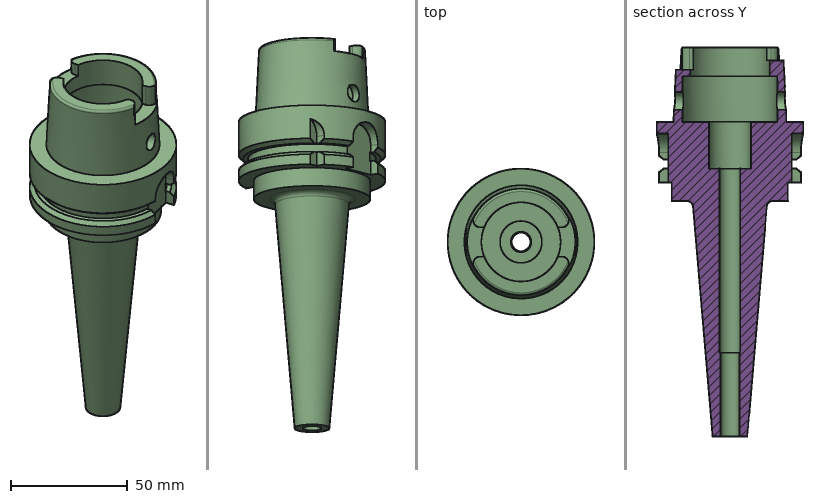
import cadquery as cq
import math

LEFT = -1
RIGHT = 1

TAPER_LENGTH = 32.0
TAPER_BASE_RADIUS = 24.35
TAPER_END_RADIUS = 22.8
TAPER_END_ROUND = 1.1

FLANGE_RADIUS = 31.5
FLANGE_BOTTOM = -26.0
GROOVE_RADIUS = 27.5
GROOVE_LIP_RADIUS = 29.5
GROOVE_CENTRE = -18.1
GROOVE_OUTER_WIDTH = 7.0
GROOVE_INNER_WIDTH = 3.75

COLLAR_RADIUS = 25.0
COLLAR_BOTTOM = -34.0
NOSE_ROOT_RADIUS = 16.1
NOSE_TIP_RADIUS = 7.5
NOSE_TIP = -135.0
NOSE_ROOT_FILLET = 2.5

MOUTH_RADIUS = 17.0
MOUTH_DEPTH = 12.5
CHAMBER_RADIUS = 20.3
CHAMBER_FLOOR = 0.0
TUBE_BORE_RADIUS = 9.0
TUBE_BORE_DEPTH = 20.0
TOOL_BORE_RADIUS = 4.0
RELIEF_BORE_RADIUS = 4.4
TOOL_BORE_LENGTH = 36.0

KEY_SLOT_WIDTH = 12.54
KEY_SLOT_DEPTH_LEFT = 5.6
KEY_SLOT_DEPTH_RIGHT = 9.6
KEY_SLOT_ROUND = 3.0

CROSS_HOLE_DIAMETER = 7.5
CROSS_HOLE_Z = 9.0

POCKET_WIDTH = 16.0
POCKET_TOP = -5.0
POCKET_FLOOR_X = 26.5
NOTCH_WALL_Y = 19.9
NOTCH_FLOOR_X = 20.2


def revolve_profile(profile):
    """Turn a closed profile of (radius, z) around the Z axis."""
    return profile.close().revolve(360, (0, 0, 0), (0, 1, 0))


def make_body():
    groove_outer = GROOVE_OUTER_WIDTH / 2
    groove_inner = GROOVE_INNER_WIDTH / 2
    body = revolve_profile(
        cq.Workplane("XZ")
        .moveTo(0, TAPER_LENGTH)
        .lineTo(TAPER_END_RADIUS, TAPER_LENGTH)
        .lineTo(TAPER_BASE_RADIUS, 0)
        .lineTo(FLANGE_RADIUS, 0)
        .lineTo(FLANGE_RADIUS, GROOVE_CENTRE + groove_outer)
        .lineTo(GROOVE_LIP_RADIUS, GROOVE_CENTRE + groove_inner)
        .lineTo(GROOVE_RADIUS, GROOVE_CENTRE + groove_inner)
        .lineTo(GROOVE_RADIUS, GROOVE_CENTRE - groove_inner)
        .lineTo(GROOVE_LIP_RADIUS, GROOVE_CENTRE - groove_inner)
        .lineTo(FLANGE_RADIUS, GROOVE_CENTRE - groove_outer)
        .lineTo(FLANGE_RADIUS, FLANGE_BOTTOM)
        .lineTo(COLLAR_RADIUS, FLANGE_BOTTOM)
        .lineTo(COLLAR_RADIUS, COLLAR_BOTTOM)
        .lineTo(NOSE_ROOT_RADIUS, COLLAR_BOTTOM)
        .lineTo(NOSE_TIP_RADIUS, NOSE_TIP)
        .lineTo(0, NOSE_TIP)
    )
    collar_face = cq.selectors.NearestToPointSelector((COLLAR_RADIUS, 0, COLLAR_BOTTOM))
    inner_edge = cq.selectors.RadiusNthSelector(0)
    body = body.faces(collar_face).edges(inner_edge).fillet(NOSE_ROOT_FILLET)
    return body.faces(">Z").edges().fillet(TAPER_END_ROUND)


def make_bores():
    mouth_bottom = TAPER_LENGTH - MOUTH_DEPTH
    tube_bore_bottom = CHAMBER_FLOOR - TUBE_BORE_DEPTH
    tool_bore_top = NOSE_TIP + TOOL_BORE_LENGTH
    return revolve_profile(
        cq.Workplane("XZ")
        .moveTo(0, TAPER_LENGTH)
        .lineTo(MOUTH_RADIUS, TAPER_LENGTH)
        .lineTo(MOUTH_RADIUS, mouth_bottom)
        .lineTo(CHAMBER_RADIUS, mouth_bottom)
        .lineTo(CHAMBER_RADIUS, CHAMBER_FLOOR)
        .lineTo(TUBE_BORE_RADIUS, CHAMBER_FLOOR)
        .lineTo(TUBE_BORE_RADIUS, tube_bore_bottom)
        .lineTo(RELIEF_BORE_RADIUS, tube_bore_bottom)
        .lineTo(RELIEF_BORE_RADIUS, tool_bore_top)
        .lineTo(TOOL_BORE_RADIUS, tool_bore_top)
        .lineTo(TOOL_BORE_RADIUS, NOSE_TIP)
        .lineTo(0, NOSE_TIP)
    )


def make_key_slot(side, depth):
    """Slot in the taper end on the given X side, flaring round into the taper surface."""
    half_width = KEY_SLOT_WIDTH / 2
    round_y = half_width + KEY_SLOT_ROUND
    round_x = math.sqrt((TAPER_END_RADIUS - KEY_SLOT_ROUND) ** 2 - round_y**2)
    quarter_mid = KEY_SLOT_ROUND / math.sqrt(2)
    arc_x = round_x + quarter_mid
    arc_y = round_y - quarter_mid
    outer_x = round_x + KEY_SLOT_ROUND
    slot = (
        cq.Workplane("XY")
        .workplane(offset=TAPER_LENGTH - depth)
        .moveTo(0, -half_width)
        .lineTo(side * round_x, -half_width)
        .threePointArc((side * arc_x, -arc_y), (side * outer_x, -round_y))
        .lineTo(side * FLANGE_RADIUS, -round_y)
        .lineTo(side * FLANGE_RADIUS, round_y)
        .lineTo(side * outer_x, round_y)
        .threePointArc((side * arc_x, arc_y), (side * round_x, half_width))
        .lineTo(0, half_width)
        .close()
    )
    return slot.extrude(depth)


def make_cross_hole():
    return (
        cq.Workplane("YZ")
        .center(0, CROSS_HOLE_Z)
        .circle(CROSS_HOLE_DIAMETER / 2)
        .extrude(FLANGE_RADIUS, both=True)
    )


def make_pocket(side, centre_y, floor_x):
    """Round-topped pocket open at the flange bottom, cut along X down to a flat floor."""
    radius = POCKET_WIDTH / 2
    arc_z = POCKET_TOP - radius
    return (
        cq.Workplane("YZ")
        .workplane(offset=side * floor_x)
        .moveTo(centre_y - radius, FLANGE_BOTTOM)
        .lineTo(centre_y - radius, arc_z)
        .threePointArc((centre_y, POCKET_TOP), (centre_y + radius, arc_z))
        .lineTo(centre_y + radius, FLANGE_BOTTOM)
        .close()
        .extrude(side * (FLANGE_RADIUS - floor_x))
    )


result = make_body().cut(make_bores())
result = result.cut(make_key_slot(LEFT, KEY_SLOT_DEPTH_LEFT))
result = result.cut(make_key_slot(RIGHT, KEY_SLOT_DEPTH_RIGHT))
result = result.cut(make_cross_hole())
for pocket_side in (LEFT, RIGHT):
    result = result.cut(make_pocket(pocket_side, 0, POCKET_FLOOR_X))
result = result.cut(make_pocket(LEFT, NOTCH_WALL_Y + POCKET_WIDTH / 2, NOTCH_FLOOR_X))